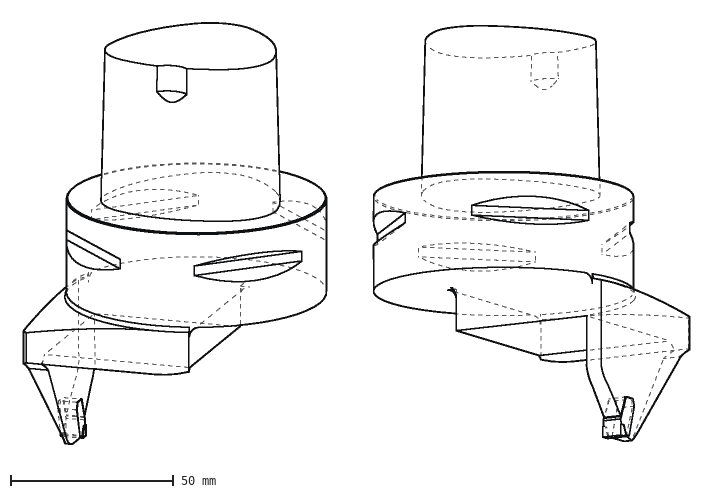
import cadquery as cq
import math


overall_width = 83.0
overall_depth = 80.5
flange_diameter = 80.0
flange_radius = flange_diameter / 2
flange_height = 30.0
flange_chamfer = 0.4

groove_count = 4
groove_center_z = 18.0
groove_floor_height = 3.0
groove_mouth_height = 8.6
groove_floor_distance = 35.5

shank_height = 48.0
lobe_radius = 16.3
lobe_reach = 29.6
flank_reach = 25.3
shank_taper_angle = math.degrees(math.atan(1 / 40))

notch_radius = 6.6
notch_depth = 8.1
notch_tip_depth = 7.6
notch_center_y = -28.5

block_right_x = 10.5
block_back_y = 10.7
block_front_y = flange_radius - overall_depth
block_left_x = flange_radius - overall_width
block_corner_chamfer = 1.4
block_bottom_z = -15.5
block_bottom_chamfer = 2.5
block_fillet = 3.0
neck_height = 1.5
cone_outer_radius = 58.5
cone_outer_z = -6.0

side_back = (-41.8, block_back_y)
side_middle = (-42.2, -11.5)
side_front = (block_left_x, -35.6)
tip_side_back = (-41.4, block_back_y)
tip_side_middle = (-42.1, 0)
tip_side_front = (-36.4, -15.3)

blade_inner_x = -36.6
blade_tip_inner_x = -36.1
blade_root_z = -19.1
blade_bottom_z = -48.5
blade_heel_y = -34.2
back_bend_start = (block_back_y, -28.6)
back_bend_middle = (9.7, -31.1)
back_bend_end = (7.1, -34.3)
back_slope_end = (0, -43.0)
tip_bend_start = (-11.5, blade_bottom_z)
tip_bend_middle = (-15.5, -47.3)
tip_bend_end = (-18.4, -44.1)
block_foot = (-36.2, -17.7)

tip_z = -49.0
insert_outer_x = -42.5
head_outer_x = -42.3
head_top_z = -45.6
head_step_y = -1.5
head_heel_y = -2.9
head_inner_x = -35.7
insert_nose = (0.4, -44.1)
insert_top_back = (-2.9, -36.6)
insert_top_front = (-6.7, -36.6)
insert_shoulder = (-7.6, -38.8)
insert_foot = (-4.6, blade_bottom_z)


def extrude_along_x(points, start_x, end_x):
    """Prism between two X positions from a closed (y, z) outline."""
    return cq.Workplane("YZ", origin=(start_x, 0, 0)).polyline(points).close().extrude(end_x - start_x)


def make_flange():
    flange = cq.Workplane("XY").circle(flange_radius).extrude(flange_height)
    flange = flange.faces(">Z").edges().chamfer(flange_chamfer)
    groove_profile = [
        (groove_floor_distance, groove_center_z - groove_floor_height / 2),
        (flange_radius, groove_center_z - groove_mouth_height / 2),
        (flange_radius, groove_center_z + groove_mouth_height / 2),
        (groove_floor_distance, groove_center_z + groove_floor_height / 2),
    ]
    groove = cq.Workplane("XZ").polyline(groove_profile).close().extrude(flange_radius, both=True)
    for index in range(groove_count):
        angle = 45 + index * 360 / groove_count
        flange = flange.cut(groove.rotate((0, 0, 0), (0, 0, 1), angle))
    return flange


def polar(radius, angle):
    return (radius * math.cos(math.radians(angle)), radius * math.sin(math.radians(angle)))


def make_shank():
    """Three lobe arcs joined by three tangent flank arcs, tapering upwards."""
    lobe_offset = lobe_reach - lobe_radius
    inset = lobe_offset / 2 - flank_reach
    flank_radius = (lobe_radius**2 - 0.75 * lobe_offset**2 - inset**2) / (2 * (inset + lobe_radius))
    flank_center = flank_radius - flank_reach
    half_angle = math.atan2(lobe_offset * math.cos(math.pi / 6), flank_center + lobe_offset / 2)
    joint_x = flank_radius * math.sin(half_angle)
    joint_y = flank_center - flank_radius * math.cos(half_angle)
    joint_reach = math.hypot(joint_x, joint_y)
    joint_angle = math.degrees(math.atan2(joint_x, -joint_y))

    outline = cq.Workplane("XY", origin=(0, 0, flange_height)).moveTo(*polar(joint_reach, -90 - joint_angle))
    for flank_angle in (-90, 30, 150):
        outline = outline.threePointArc(
            polar(flank_reach, flank_angle), polar(joint_reach, flank_angle + joint_angle)
        )
        outline = outline.threePointArc(
            polar(lobe_reach, flank_angle + 60), polar(joint_reach, flank_angle + 120 - joint_angle)
        )
    shank = outline.close().extrude(shank_height, taper=shank_taper_angle)

    top_z = flange_height + shank_height
    notch = (
        cq.Workplane("XZ")
        .polyline([
            (0, top_z),
            (notch_radius, top_z),
            (notch_radius, top_z - notch_depth),
            (0, top_z - notch_depth - notch_tip_depth),
        ])
        .close()
        .revolve(360, (0, 0, 0), (0, 1, 0))
        .translate((0, notch_center_y, 0))
    )
    return shank.cut(notch)


def make_cone_envelope():
    """Neck and shallow cone that bound the block from above."""
    return (
        cq.Workplane("XZ")
        .polyline([
            (0, 0),
            (flange_radius, 0),
            (-block_front_y, -neck_height),
            (cone_outer_radius, cone_outer_z),
            (cone_outer_radius, tip_z),
            (0, tip_z),
        ])
        .close()
        .revolve(360, (0, 0, 0), (0, 1, 0))
    )


def plan_outline(right_x):
    """Plan of the block up to right_x, with the curved side and cut front corner."""
    return (
        cq.Workplane("XY")
        .moveTo(right_x, block_back_y)
        .lineTo(*side_back)
        .threePointArc(side_middle, side_front)
        .lineTo(block_left_x, block_front_y + block_corner_chamfer)
        .lineTo(block_left_x + block_corner_chamfer, block_front_y)
        .lineTo(right_x, block_front_y)
        .close()
    )


def make_block():
    prism = plan_outline(block_right_x).extrude(block_bottom_z)
    rim_radius = -block_front_y
    rim = cq.Workplane("XY").circle(rim_radius).extrude(block_bottom_z)
    left_half = cq.Workplane("XY").box(2 * cone_outer_radius, 2 * cone_outer_radius, 2 * cone_outer_radius)
    left_half = left_half.translate((-cone_outer_radius, 0, 0))
    prism = prism.intersect(rim.union(left_half))

    bottom_cut = extrude_along_x(
        [
            (block_front_y, block_bottom_z),
            (block_front_y + block_bottom_chamfer, block_bottom_z + block_bottom_chamfer),
            (block_back_y, block_bottom_z + block_bottom_chamfer),
            (block_back_y, block_bottom_z),
        ],
        blade_inner_x,
        block_right_x,
    )
    return prism.cut(bottom_cut)


def fillet_strip(plane, face_position, length):
    """Concave fillet under the flange beside a block face; the strip runs along the plane normal."""
    mid = block_fillet * (1 - math.sqrt(0.5))
    return (
        cq.Workplane(plane)
        .moveTo(face_position, 0)
        .lineTo(face_position + block_fillet, 0)
        .threePointArc((face_position + mid, -mid), (face_position, -block_fillet))
        .close()
        .extrude(length)
    )


def make_block_fillets():
    right = fillet_strip("XZ", block_right_x, -block_front_y)
    right = right.union(fillet_strip("XZ", block_right_x, -block_back_y))
    back = fillet_strip("YZ", block_back_y, block_left_x)
    back = back.union(fillet_strip("YZ", block_back_y, block_right_x))
    flange_shadow = cq.Workplane("XY").circle(flange_radius).extrude(-block_fillet)
    return right.union(back).intersect(flange_shadow)


def make_blade():
    root = plan_outline(blade_inner_x).extrude(blade_root_z)

    twist = (
        cq.Workplane("XY", origin=(0, 0, blade_root_z))
        .moveTo(blade_inner_x, block_back_y)
        .lineTo(*side_back)
        .threePointArc(side_middle, side_front)
        .lineTo(blade_inner_x, side_front[1])
        .close()
        .workplane(offset=tip_z - blade_root_z)
        .moveTo(blade_tip_inner_x, block_back_y)
        .lineTo(*tip_side_back)
        .threePointArc(tip_side_middle, tip_side_front)
        .lineTo(blade_tip_inner_x, tip_side_front[1])
        .close()
        .loft(ruled=True)
    )

    profile = (
        cq.Workplane("YZ", origin=(block_left_x, 0, 0))
        .moveTo(block_back_y, 0)
        .lineTo(*back_bend_start)
        .threePointArc(back_bend_middle, back_bend_end)
        .lineTo(*back_slope_end)
        .lineTo(0, blade_bottom_z)
        .lineTo(*tip_bend_start)
        .threePointArc(tip_bend_middle, tip_bend_end)
        .lineTo(blade_heel_y, blade_root_z)
        .lineTo(*block_foot)
        .lineTo(block_front_y, block_bottom_z)
        .lineTo(block_front_y, 0)
        .close()
        .extrude(head_inner_x - block_left_x)
    )
    return root.union(twist).intersect(profile)


def make_insert():
    body_outline = [
        insert_nose,
        insert_top_back,
        insert_top_front,
        insert_shoulder,
        insert_foot,
        (head_heel_y, blade_bottom_z),
        (head_step_y, head_top_z),
        (0, head_top_z),
    ]
    head_outline = [
        (0, head_top_z),
        (head_step_y, head_top_z),
        (head_heel_y, blade_bottom_z),
        (head_heel_y, tip_z),
        (0, tip_z),
    ]
    body = extrude_along_x(body_outline, insert_outer_x, blade_tip_inner_x)
    head = extrude_along_x(head_outline, head_outer_x, head_inner_x)
    return body.union(head)


insert = make_insert()
lower_part = make_block().union(make_blade()).intersect(make_cone_envelope())
holder = (
    make_flange()
    .union(make_shank())
    .union(lower_part)
    .union(make_block_fillets())
    .cut(insert)
)

result = cq.Compound.makeCompound([holder.val(), insert.val()])